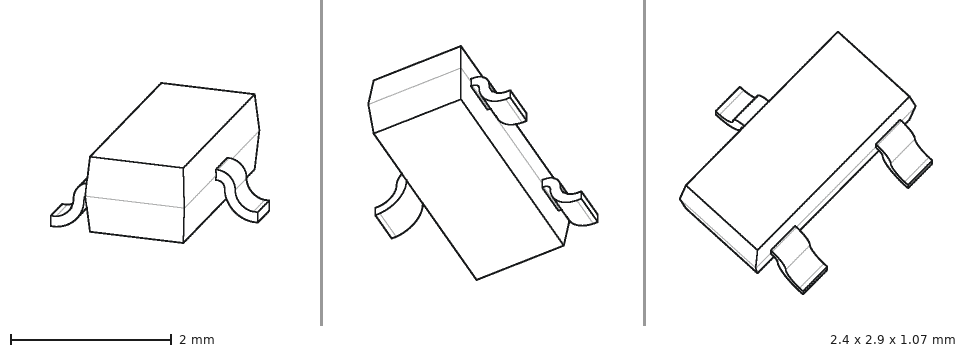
import cadquery as cq
import math

body_width = 1.305
body_length = 2.9
body_height = 1.0
side_inset = 0.038
end_inset = 0.072
half_height = body_height / 2

lead_width = 0.44
lead_span = 2.4
lead_pitch = 1.902
lead_thickness = 0.14
foot_drop = 0.07
foot_flat = 0.065
foot_center_offset = 0.032
foot_inner_radius = 0.267
root_embed = 0.087

lead_tip_x = lead_span / 2
foot_start_x = lead_tip_x - foot_flat
foot_center_x = lead_tip_x - foot_center_offset
foot_outer_radius = foot_inner_radius + lead_thickness
bend_to_flat = foot_center_x - foot_start_x
sole_z = -half_height - foot_drop

bend_z = sole_z + math.sqrt(foot_outer_radius**2 - bend_to_flat**2)

root_x = body_width / 2 - root_embed
root_top = lead_thickness / 2
shoulder_outer_radius = root_top - bend_z
shoulder_inner_radius = shoulder_outer_radius - lead_thickness
shoulder_center_x = foot_center_x - foot_inner_radius - shoulder_outer_radius


def body_half(direction):
    """Half of the body, tapering from the parting plane up (+1) or down (-1)."""
    return (
        cq.Workplane("XY")
        .rect(body_width, body_length)
        .workplane(offset=direction * half_height)
        .rect(body_width - 2 * side_inset, body_length - 2 * end_inset)
        .loft(ruled=True)
    )


def bend_point(center_x, radius, angle):
    """Point on a bend, with the angle in degrees measured from +X."""
    turn = math.radians(angle)
    return center_x + radius * math.cos(turn), bend_z + radius * math.sin(turn)


def foot_end_angle(radius):
    """Angle at which a lower bend of this radius reaches the flat of the foot."""
    return 180 + math.degrees(math.acos(bend_to_flat / radius))


def lead(center_y):
    """S-shaped lead pointing toward +X, centred at the given Y."""
    inner_end = foot_end_angle(foot_inner_radius)
    outer_end = foot_end_angle(foot_outer_radius)
    foot_top = bend_point(foot_center_x, foot_inner_radius, inner_end)
    profile = (
        cq.Workplane("XZ")
        .moveTo(root_x, root_top)
        .lineTo(shoulder_center_x, root_top)
        .threePointArc(
            bend_point(shoulder_center_x, shoulder_outer_radius, 45),
            bend_point(shoulder_center_x, shoulder_outer_radius, 0),
        )
        .threePointArc(
            bend_point(foot_center_x, foot_inner_radius, (180 + inner_end) / 2),
            foot_top,
        )
        .lineTo(lead_tip_x, foot_top[1])
        .lineTo(lead_tip_x, sole_z)
        .lineTo(foot_start_x, sole_z)
        .threePointArc(
            bend_point(foot_center_x, foot_outer_radius, (180 + outer_end) / 2),
            bend_point(foot_center_x, foot_outer_radius, 180),
        )
        .threePointArc(
            bend_point(shoulder_center_x, shoulder_inner_radius, 45),
            bend_point(shoulder_center_x, shoulder_inner_radius, 90),
        )
        .lineTo(root_x, root_top - lead_thickness)
        .close()
    )
    return profile.extrude(lead_width / 2, both=True).translate((0, center_y, 0))


result = body_half(1).union(body_half(-1)).union(lead(0))
for lead_y in (-lead_pitch / 2, lead_pitch / 2):
    result = result.union(lead(lead_y).mirror("YZ"))